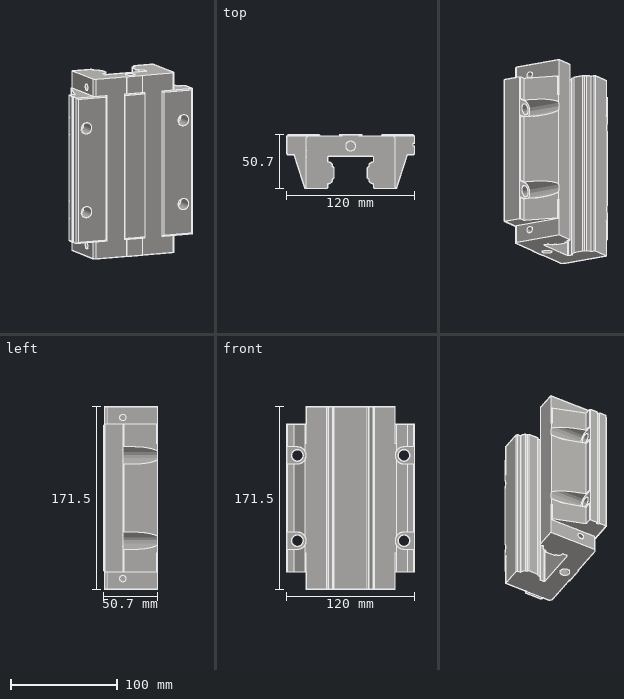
import cadquery as cq


TOTAL_LENGTH = 171.5
BODY_LENGTH = 138.8
BODY_WIDTH = 120.0
BODY_HEIGHT = 50.7
CAP_LENGTH = (TOTAL_LENGTH - BODY_LENGTH) / 2

FLANGE_BOTTOM = 31.7
FLANGE_TOP_CHAMFER = 1.5
FLANGE_LOWER_CHAMFER = 0.9
FLANK_TOP_HALF = 53.2
FOOT_HALF = 43.0

CHANNEL_FLOOR = 49.5
CHANNEL_INNER = 10.5
CHANNEL_OUTER = 29.7
CHANNEL_DEPTH = BODY_HEIGHT - CHANNEL_FLOOR
LAND_END_CHAMFER = 1.2

CAP_HALF = 41.8
CAP_HEIGHT = CHANNEL_FLOOR
CAP_CHAMFER = 2.0
RIDGE_HALF = 8.2
RIDGE_HEIGHT = 50.1

MOUTH_HALF = 22.5
MOUTH_CHAMFER = 1.0
OPENING_HALF = 21.3
OPENING_TOP = 30.3
OPENING_CHAMFER = 0.6
LIP_HALF = 17.1
TIP_HALF = 15.5
TIP_CHAMFER = 1.2
LOWER_TIP = 8.9
UPPER_TIP = 20.7
LOWER_ARC_START = (20.8, 4.3)
LOWER_ARC_MIDDLE = (18.75, 5.3)
LOWER_ARC_END = (LIP_HALF, 7.0)
UPPER_ARC_START = (LIP_HALF, 22.8)
UPPER_ARC_MIDDLE = (18.8, 24.3)
UPPER_ARC_END = (OPENING_HALF, 25.2)

HOLE_X = 50.0
HOLE_Z = 40.0
HOLE_DIAMETER = 10.6
SPOTFACE_DIAMETER = 16.3
SPOTFACE_LEVEL = 32.6

GROOVE_DEPTH = 1.3
GROOVE_LOW = 40.0
GROOVE_HIGH = 42.3

PORT_Y = 39.9
PORT_DIAMETER = 9.2
SIDE_PORT_Y = 32.7
SIDE_PORT_DIAMETER = 6.0
SIDE_PORT_DEPTH = 10.0
SIDE_PORT_FROM_END = 10.2

NOTCH_HEIGHT = 1.2
NOTCH_FROM_END = 34.4


def block(x_range, y_range, z_range):
    """Axis-aligned box between the given limits."""
    (x0, x1), (y0, y1), (z0, z1) = x_range, y_range, z_range
    return cq.Workplane("XY").box(x1 - x0, y1 - y0, z1 - z0, centered=False).translate((x0, y0, z0))


def both_sides(shape):
    """The shape joined with its mirror image across X = 0."""
    return shape.union(shape.mirror("YZ"))


def both_ends(shape):
    """The shape joined with its mirror image across Z = 0."""
    return shape.union(shape.mirror("XY"))


def steel_body():
    side = BODY_WIDTH / 2
    right_half = [
        (0, 0),
        (FOOT_HALF, 0),
        (FLANK_TOP_HALF, FLANGE_BOTTOM),
        (side - FLANGE_LOWER_CHAMFER, FLANGE_BOTTOM),
        (side, FLANGE_BOTTOM + FLANGE_LOWER_CHAMFER),
        (side, BODY_HEIGHT - FLANGE_TOP_CHAMFER),
        (side - FLANGE_TOP_CHAMFER, BODY_HEIGHT),
        (CHANNEL_OUTER, BODY_HEIGHT),
        (CHANNEL_OUTER - CHANNEL_DEPTH, CHANNEL_FLOOR),
        (CHANNEL_INNER, CHANNEL_FLOOR),
        (CHANNEL_INNER, BODY_HEIGHT),
        (0, BODY_HEIGHT),
    ]
    profile = cq.Workplane("XY").polyline(right_half).close()
    return both_sides(profile.extrude(BODY_LENGTH / 2, both=True))


def land_end_chamfers():
    """Wedges that bevel the ends of the mounting face lands down to the channel floor."""
    end = BODY_LENGTH / 2
    wedge = [
        (BODY_HEIGHT, end - LAND_END_CHAMFER),
        (BODY_HEIGHT, end),
        (CHANNEL_FLOOR, end),
    ]
    return both_ends(cq.Workplane("YZ").polyline(wedge).close().extrude(BODY_WIDTH / 2, both=True))


def end_caps():
    right_half = [
        (0, 0),
        (CAP_HALF, 0),
        (CAP_HALF, CAP_HEIGHT - CAP_CHAMFER),
        (CAP_HALF - CAP_CHAMFER, CAP_HEIGHT),
        (RIDGE_HALF, CAP_HEIGHT),
        (RIDGE_HALF, RIDGE_HEIGHT),
        (0, RIDGE_HEIGHT),
    ]
    cap = cq.Workplane("XY", origin=(0, 0, BODY_LENGTH / 2)).polyline(right_half).close()
    return both_ends(both_sides(cap.extrude(CAP_LENGTH)))


def rail_opening():
    """Channel for the rail, narrowed by a rounded ball-track lip on each side."""
    right_half = (
        cq.Workplane("XY")
        .moveTo(0, 0)
        .lineTo(MOUTH_HALF, 0)
        .lineTo(OPENING_HALF, MOUTH_CHAMFER)
        .lineTo(OPENING_HALF, LOWER_ARC_START[1])
        .lineTo(*LOWER_ARC_START)
        .threePointArc(LOWER_ARC_MIDDLE, LOWER_ARC_END)
        .lineTo(LIP_HALF, LOWER_TIP)
        .lineTo(TIP_HALF + TIP_CHAMFER, LOWER_TIP)
        .lineTo(TIP_HALF, LOWER_TIP + TIP_CHAMFER)
        .lineTo(TIP_HALF, UPPER_TIP - TIP_CHAMFER)
        .lineTo(TIP_HALF + TIP_CHAMFER, UPPER_TIP)
        .lineTo(LIP_HALF, UPPER_TIP)
        .lineTo(*UPPER_ARC_START)
        .threePointArc(UPPER_ARC_MIDDLE, UPPER_ARC_END)
        .lineTo(OPENING_HALF, OPENING_TOP - OPENING_CHAMFER)
        .lineTo(OPENING_HALF - OPENING_CHAMFER, OPENING_TOP)
        .lineTo(0, OPENING_TOP)
        .close()
        .extrude(TOTAL_LENGTH / 2, both=True)
    )
    return both_sides(right_half)


def y_cylinder(diameter, y_low, y_high):
    """Cylinder along Y at a mounting hole position."""
    cylinder = cq.Workplane("XZ", origin=(HOLE_X, y_low, HOLE_Z)).circle(diameter / 2)
    return cylinder.extrude(y_low - y_high)


def mounting_holes():
    """Four through holes with spot faces that run out through the flange sides."""
    radius = SPOTFACE_DIAMETER / 2
    spotface = y_cylinder(SPOTFACE_DIAMETER, 0, SPOTFACE_LEVEL)
    run_out = block(
        (HOLE_X, BODY_WIDTH / 2),
        (0, SPOTFACE_LEVEL),
        (HOLE_Z - radius, HOLE_Z + radius),
    )
    hole = y_cylinder(HOLE_DIAMETER, 0, BODY_HEIGHT).union(spotface).union(run_out)
    return both_ends(both_sides(hole))


def reference_groove():
    side = BODY_WIDTH / 2
    half_length = BODY_LENGTH / 2
    return block((side - GROOVE_DEPTH, side), (GROOVE_LOW, GROOVE_HIGH), (-half_length, half_length))


def foot_notches():
    """Trim the outer foot edges flush with the caps near both ends."""
    notch = block(
        (CAP_HALF, FOOT_HALF),
        (0, NOTCH_HEIGHT),
        (TOTAL_LENGTH / 2 - NOTCH_FROM_END, TOTAL_LENGTH / 2),
    )
    return both_ends(both_sides(notch))


def end_ports():
    face = TOTAL_LENGTH / 2
    port = cq.Workplane("XY", origin=(0, PORT_Y, face)).circle(PORT_DIAMETER / 2).extrude(-CAP_LENGTH)
    return both_ends(port)


def side_ports():
    start = (CAP_HALF, SIDE_PORT_Y, TOTAL_LENGTH / 2 - SIDE_PORT_FROM_END)
    port = cq.Workplane("YZ", origin=start).circle(SIDE_PORT_DIAMETER / 2).extrude(-SIDE_PORT_DEPTH)
    return both_ends(both_sides(port))


result = steel_body().cut(land_end_chamfers())
result = result.union(end_caps())
result = result.cut(rail_opening())
result = result.cut(mounting_holes())
result = result.cut(reference_groove())
result = result.cut(foot_notches())
result = result.cut(end_ports())
result = result.cut(side_ports())